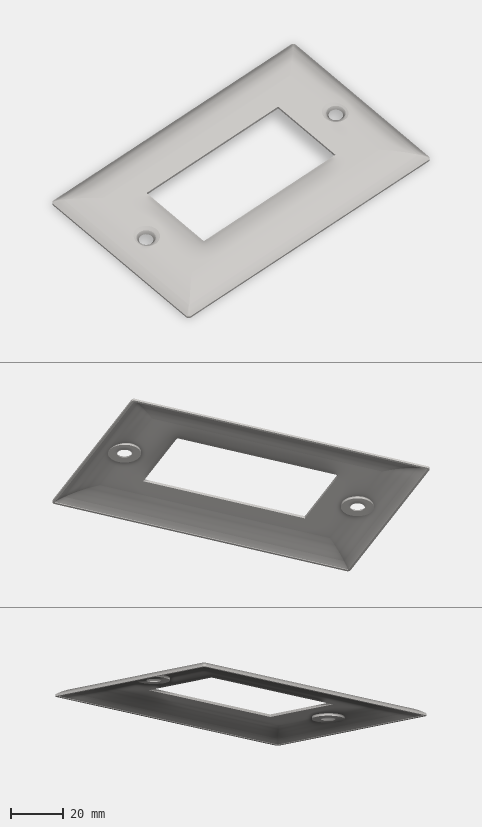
import cadquery as cq
import math

width = 79.4
length = 123.8
height = 4.5
wall = 1.0

rim_height = 0.8
border_width = 14.1
band_width = 3.5
band_height = 2.6
upper_run = border_width - band_width
upper_drop = height - band_height
upper_radius = (upper_run**2 + upper_drop**2) / (2 * upper_drop)
upper_center_z = height - upper_radius

joint_angle = math.asin(upper_run / upper_radius)
chord_rise = band_height - rim_height
chord_angle = math.atan2(chord_rise, band_width)
chord_length = math.hypot(band_width, chord_rise)
lower_radius = chord_length / (2 * math.sin(chord_angle - joint_angle))

corner_radius = 1.2

window_width = 33.0
window_length = 67.1

screw_spacing = 96.8
countersink_diameter = 10.6
step_diameter = 7.4
hole_diameter = 5.6
step_depth = 0.8
screw_seat_depth = 2.0
boss_diameter = countersink_diameter + 2 * wall


def arch_profile(plane, span, inset):
    """Cross-section of the plate, offset inward by inset from its outer surface."""
    half = span / 2 - inset
    flat_half = span / 2 - border_width
    upper = upper_radius - inset
    lower = lower_radius - inset
    top = height - inset

    center_gap = upper_radius - lower_radius
    lower_center_x = flat_half + center_gap * math.sin(joint_angle)
    lower_center_z = upper_center_z + center_gap * math.cos(joint_angle)

    def upper_point(angle):
        return flat_half + upper * math.sin(angle), upper_center_z + upper * math.cos(angle)

    def lower_point(angle):
        return lower_center_x + lower * math.sin(angle), lower_center_z + lower * math.cos(angle)

    def mirrored(point):
        return -point[0], point[1]

    rim_angle = math.asin((half - lower_center_x) / lower)
    rim = lower_point(rim_angle)
    lower_middle = lower_point((rim_angle + joint_angle) / 2)
    joint = upper_point(joint_angle)
    upper_middle = upper_point(joint_angle / 2)
    return (
        cq.Workplane(plane)
        .moveTo(-half, 0)
        .lineTo(half, 0)
        .lineTo(*rim)
        .threePointArc(lower_middle, joint)
        .threePointArc(upper_middle, (flat_half, top))
        .lineTo(-flat_half, top)
        .threePointArc(mirrored(upper_middle), mirrored(joint))
        .threePointArc(mirrored(lower_middle), mirrored(rim))
        .close()
    )


def mitred_dome(inset):
    """Crossing the two profiles gives curved borders that meet in mitred corners."""
    across = arch_profile("XZ", width, inset).extrude(length / 2 - inset, both=True)
    along = arch_profile("YZ", length, inset).extrude(width / 2 - inset, both=True)
    return across.intersect(along)


def slab(bottom, top):
    return cq.Workplane("XY").workplane(offset=bottom).rect(width, length).extrude(top - bottom)


def rounded_dome():
    dome = mitred_dome(0)
    lower = dome.intersect(slab(0, band_height))
    upper = dome.intersect(slab(band_height, height))
    lower = lower.edges("not(#Z or |X or |Y)").fillet(corner_radius)
    return lower.union(upper)


def screw_points(z):
    return cq.Workplane("XY").workplane(offset=z).pushPoints(
        [(0, -screw_spacing / 2), (0, screw_spacing / 2)]
    )


def screw_cutter():
    """Revolved two-stage countersink with a straight bore continuing below it."""
    return (
        cq.Workplane("XZ")
        .moveTo(0, height)
        .lineTo(countersink_diameter / 2, height)
        .lineTo(step_diameter / 2, height - step_depth)
        .lineTo(hole_diameter / 2, height - screw_seat_depth)
        .lineTo(hole_diameter / 2, 0)
        .lineTo(0, 0)
        .close()
        .revolve(360, (0, 0, 0), (0, 1, 0))
    )


outer = rounded_dome()
plate = outer.cut(mitred_dome(wall))

bosses = screw_points(height - screw_seat_depth).circle(boss_diameter / 2).extrude(screw_seat_depth)
plate = plate.union(bosses.intersect(outer))

for side in (-1, 1):
    plate = plate.cut(screw_cutter().translate((0, side * screw_spacing / 2, 0)))

window = cq.Workplane("XY").rect(window_width, window_length).extrude(height)
result = plate.cut(window)